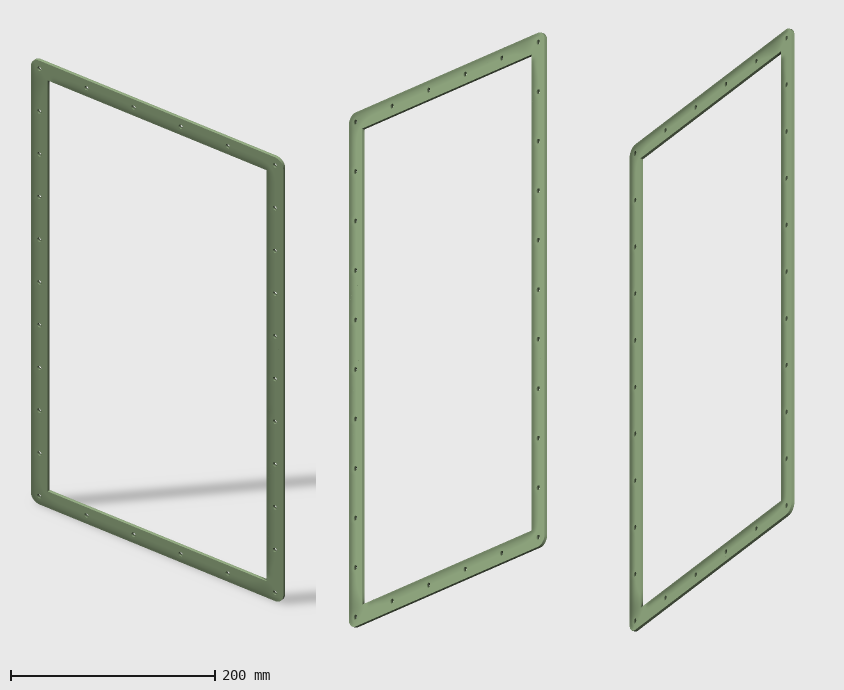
import cadquery as cq

width = 300.0
height = 540.0
thickness = 3.2
border = 20.0
corner_radius = 10.0

hole_diameter = 5.0
columns = 6
rows = 11
hole_span_x = width - border
hole_span_z = height - border


def frame_plate():
    """Upright rectangular frame, centred on the origin."""
    plate = cq.Workplane("XY").box(width, thickness, height)
    plate = plate.edges("|Y").fillet(corner_radius)
    opening = cq.Workplane("XY").box(width - 2 * border, 2 * thickness, height - 2 * border)
    return plate.cut(opening)


def hole_centres():
    """Evenly spaced points around the frame, with the corners counted once."""
    points = []
    for column in range(columns):
        for row in range(rows):
            if column in (0, columns - 1) or row in (0, rows - 1):
                x = hole_span_x * (column / (columns - 1) - 0.5)
                z = hole_span_z * (row / (rows - 1) - 0.5)
                points.append((x, z))
    return points


def bolt_holes():
    """Cylinders passing through the full thickness."""
    sketch = cq.Workplane("XZ").pushPoints(hole_centres()).circle(hole_diameter / 2)
    return sketch.extrude(thickness, both=True)


result = frame_plate().cut(bolt_holes())